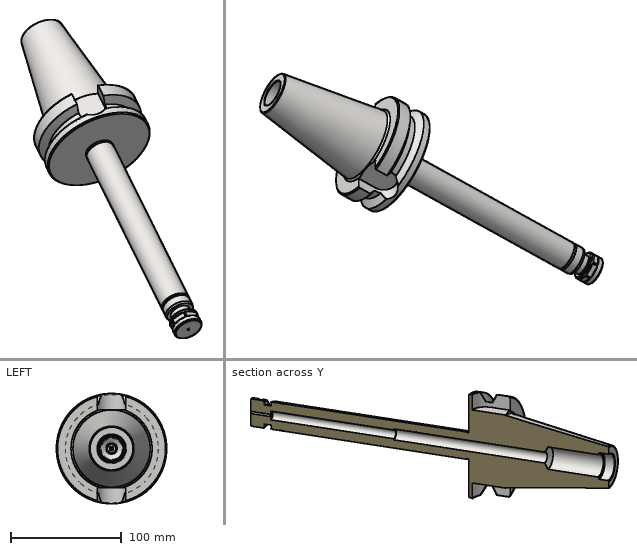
import cadquery as cq
import math

total_length = 356.8

taper_length = 101.7
taper_large_diameter = 70.0
taper_ratio = 7 / 24
taper_small_diameter = taper_large_diameter - taper_length * taper_ratio
small_end_chamfer = 0.7
neck_chamfer = 1.8

flange_diameter = 100
flange_start = 104.5
flange_end = 140.0
flange_chamfer = 1.0
groove_diameter = 84.2
groove_floor_start = 122.0
groove_floor_width = 6.0
groove_side_run = 4.3

slot_width = 25.7
slot_end = 136.0
slot_floor_height = 35.5

shank_diameter = 26.8
relief_diameter = 26.0
flange_relief_width = 2.0
relief_start = 324.7
relief_width = 2.0
shank_end = 336.5
shank_chamfer_length = 2.0
shank_chamfer_depth = 0.7

stem_diameter = 19.0
nut_start = 343.0
nut_diameter = 26.8
nut_chamfer = 1.0
flat_count = 6
flat_start = 346
flat_length = 5.5
across_flats = 24.0

bore_mouth_diameter = 26.0
counterbore_diameter = 25
counterbore_depth = 10.0
counterbore_seat_diameter = 22.5
thread_bore_diameter = 21.0
thread_bore_depth = 60.5
drill_point_half_angle = math.radians(59)
coolant_bore_diameter = 10.0
coolant_bore_end = 214
narrow_bore_diameter = 8.0
narrow_bore_end = shank_end
nozzle_diameter = 1.7
nozzle_countersink_diameter = 3.5


def revolve_profile(stations):
    """Turn (x, diameter) stations into a solid of revolution about the X axis."""
    outline = [(x, diameter / 2) for x, diameter in stations]
    outline = [(stations[0][0], 0)] + outline + [(stations[-1][0], 0)]
    return cq.Workplane("XY").polyline(outline).close().revolve(360, (0, 0, 0), (1, 0, 0))


def make_body():
    groove_floor_end = groove_floor_start + groove_floor_width
    flange_face_diameter = flange_diameter - 2 * flange_chamfer
    flange_relief_end = flange_end + flange_relief_width
    relief_end = relief_start + relief_width
    nut_face_diameter = nut_diameter - 2 * nut_chamfer
    return revolve_profile([
        (0, taper_small_diameter - 2 * small_end_chamfer),
        (small_end_chamfer, taper_small_diameter + small_end_chamfer * taper_ratio),
        (taper_length, taper_large_diameter),
        (flange_start - neck_chamfer, taper_large_diameter),
        (flange_start, taper_large_diameter + 2 * neck_chamfer),
        (flange_start, flange_face_diameter),
        (flange_start + flange_chamfer, flange_diameter),
        (groove_floor_start - groove_side_run, flange_diameter),
        (groove_floor_start, groove_diameter),
        (groove_floor_end, groove_diameter),
        (groove_floor_end + groove_side_run, flange_diameter),
        (flange_end - flange_chamfer, flange_diameter),
        (flange_end, flange_face_diameter),
        (flange_end, relief_diameter),
        (flange_relief_end, relief_diameter),
        (flange_relief_end, shank_diameter),
        (relief_start, shank_diameter),
        (relief_start, relief_diameter),
        (relief_end, relief_diameter),
        (relief_end, shank_diameter),
        (shank_end - shank_chamfer_length, shank_diameter),
        (shank_end, shank_diameter - 2 * shank_chamfer_depth),
        (shank_end, stem_diameter),
        (nut_start, stem_diameter),
        (nut_start, nut_face_diameter),
        (nut_start + nut_chamfer, nut_diameter),
        (total_length - nut_chamfer, nut_diameter),
        (total_length, nut_face_diameter),
    ])


def make_bore():
    seat_depth = counterbore_depth + (counterbore_seat_diameter - thread_bore_diameter) / 2
    countersink_depth = (nozzle_countersink_diameter - nozzle_diameter) / 2
    point_length = (thread_bore_diameter - coolant_bore_diameter) / 2 / math.tan(drill_point_half_angle)
    return revolve_profile([
        (0, bore_mouth_diameter),
        ((bore_mouth_diameter - counterbore_diameter) / 2, counterbore_diameter),
        (counterbore_depth, counterbore_diameter),
        (counterbore_depth, counterbore_seat_diameter),
        (seat_depth, thread_bore_diameter),
        (thread_bore_depth, thread_bore_diameter),
        (thread_bore_depth + point_length, coolant_bore_diameter),
        (coolant_bore_end, coolant_bore_diameter),
        (coolant_bore_end, narrow_bore_diameter),
        (narrow_bore_end, narrow_bore_diameter),
        (narrow_bore_end, nozzle_countersink_diameter),
        (narrow_bore_end + countersink_depth, nozzle_diameter),
        (total_length, nozzle_diameter),
    ])


def make_key_slot():
    """Slot at +Z, open towards the taper and rounded at its far end."""
    straight_end = slot_end - slot_width / 2
    return (
        cq.Workplane("XY", origin=(0, 0, slot_floor_height))
        .moveTo(taper_length, -slot_width / 2)
        .lineTo(straight_end, -slot_width / 2)
        .threePointArc((slot_end, 0), (straight_end, slot_width / 2))
        .lineTo(taper_length, slot_width / 2)
        .close()
        .extrude(flange_diameter / 2)
    )


def make_nut_flat():
    """Cutter for the spanner flat that faces +Y."""
    return cq.Workplane("XY", origin=(flat_start, across_flats / 2, 0)).box(
        flat_length, nut_diameter, nut_diameter, centered=(False, False, True)
    )


result = make_body().cut(make_bore())

for angle in (0, 180):
    result = result.cut(make_key_slot().rotate((0, 0, 0), (1, 0, 0), angle))

for index in range(flat_count):
    result = result.cut(make_nut_flat().rotate((0, 0, 0), (1, 0, 0), index * 360 / flat_count))